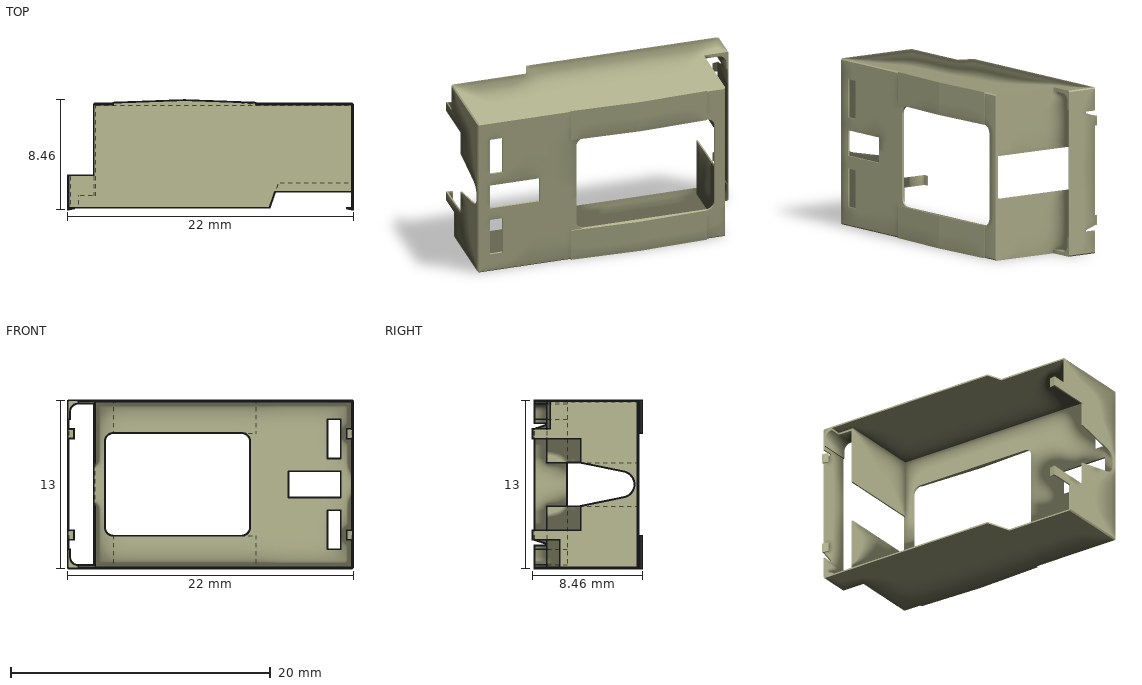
import cadquery as cq
import math

length = 22.0
depth = 8.46
height = 13.0
half_height = height / 2
wall = 0.12
back_wall = 0.15
edge_bevel = 0.1
cut_margin = 1.0

front_y = 0.15
step_y = 2.67
back_y = 8.19
back_inner_y = back_y - back_wall

step_x = 2.0
skirt_wall = 0.1

stiffener_wall = 0.2
stiffener_depth = 0.29
stiffener_radius = 0.6
stiffener_end_z = 5.0
ledge_front_y = 1.1

upper_cut_y = 1.37
lower_cut_y = 2.1
cut_start_x = 15.57
cut_slope = 0.34

window_x = (2.88, 14.05)
window_half_height = 3.95
window_radius = 0.65
slot_right_x = 21.03
centre_slot_size = (4.0, 2.0)
outer_slot_size = (1.0, 3.0)
outer_slot_z = 3.5

pad_x = (3.5, 14.5)
pad_edge_y = 8.26

left_notch_half_height = 1.68

throat_y = 7.85
throat_radius = 1.0
throat_taper = math.radians(11.5)
mouth_y = 3.72

hook_low_z = 3.52
hook_high_z = 4.28
hook_reach = 0.5
hook_nose_y = 0.1
relief_root_y = 1.04
relief_outer_z = 4.7
relief_root_z = 4.58


def box(x_range, y_range, z_range):
    """Axis-aligned block between the given limits."""
    (x0, x1), (y0, y1), (z0, z1) = x_range, y_range, z_range
    return cq.Workplane("XY").box(x1 - x0, y1 - y0, z1 - z0, centered=False).translate((x0, y0, z0))


def extrude_z(points, z0, z1):
    """Closed XY polygon extruded between two heights."""
    return cq.Workplane("XY").workplane(offset=z0).polyline(points).close().extrude(z1 - z0)


def extrude_x(points, x0, x1):
    """Closed YZ polygon extruded between two X positions."""
    return cq.Workplane("YZ").workplane(offset=x0).polyline(points).close().extrude(x1 - x0)


def mirrored(shape):
    """The shape together with its mirror image about Z = 0."""
    return shape.union(shape.mirror("XY"))


def make_shell():
    """Thin stepped box, open at the front and at the back of the step, with bevelled outer edges."""
    outline = [
        (0, front_y), (length, front_y), (length, back_y),
        (step_x, back_y), (step_x, step_y), (0, step_y),
    ]
    body = extrude_z(outline, -half_height, half_height)
    outer_edges = body.edges("(|Z and >Y) or (|X and >Y) or (|Y and >X) or (|Y and <X)")
    body = outer_edges.chamfer(edge_bevel)
    inner_z = (wall - half_height, half_height - wall)
    main_cavity = box((step_x + wall, length - wall), (front_y - cut_margin, back_inner_y), inner_z)
    step_cavity = box((skirt_wall, step_x), (front_y - cut_margin, step_y + cut_margin), inner_z)
    wall_front = box((step_x, step_x + wall), (front_y - cut_margin, ledge_front_y), inner_z)
    return body.cut(main_cavity).cut(step_cavity).cut(wall_front)


def make_stiffeners():
    """Rounded corner thickening inside the step, with a set-back ledge along the side plate."""
    inner_z = half_height - stiffener_depth
    top_z = half_height - wall / 2
    left_x = skirt_wall / 2
    arc_end_x = stiffener_wall + stiffener_radius
    corner = (
        cq.Workplane("XZ", origin=(0, step_y, 0))
        .moveTo(left_x, stiffener_end_z)
        .lineTo(stiffener_wall, stiffener_end_z)
        .lineTo(stiffener_wall, inner_z - stiffener_radius)
        .radiusArc((arc_end_x, inner_z), stiffener_radius)
        .lineTo(arc_end_x, top_z)
        .lineTo(left_x, top_z)
        .close()
        .extrude(step_y - front_y)
    )
    ledge = box((arc_end_x, step_x + wall / 2), (ledge_front_y, step_y), (inner_z, top_z))
    return mirrored(corner.union(ledge))


def make_pads():
    """Pads with a shallow ridge, standing on the back plate."""
    x0, x1 = pad_x
    pad = (
        cq.Workplane("XY", origin=(0, 0, window_half_height))
        .moveTo(x0, back_inner_y)
        .lineTo(x0, pad_edge_y)
        .lineTo((x0 + x1) / 2, depth)
        .lineTo(x1, pad_edge_y)
        .lineTo(x1, back_inner_y)
        .close()
        .extrude(half_height - window_half_height)
    )
    return mirrored(pad)


def make_front_cut(cut_y, z0, z1):
    """Front clearance at the right end of a side plate, with a slanted left edge."""
    low_y = front_y - cut_margin
    start_x = cut_start_x - cut_slope * cut_margin
    end_x = cut_start_x + cut_slope * (cut_y - front_y)
    right_x = length + cut_margin
    return extrude_z([(start_x, low_y), (right_x, low_y), (right_x, cut_y), (end_x, cut_y)], z0, z1)


def make_right_wall_cut():
    """Tapered, round-ended notch that opens into the gap between the latch arms."""
    tangent_y = throat_y - throat_radius * (1 - math.sin(throat_taper))
    tangent_z = throat_radius * math.cos(throat_taper)
    mouth_half_height = tangent_z + (tangent_y - mouth_y) * math.tan(throat_taper)
    low_y = front_y - cut_margin
    return (
        cq.Workplane("YZ", origin=(length - wall - cut_margin, 0, 0))
        .moveTo(low_y, -hook_low_z)
        .lineTo(mouth_y, -hook_low_z)
        .lineTo(mouth_y, -mouth_half_height)
        .lineTo(tangent_y, -tangent_z)
        .threePointArc((throat_y, 0), (tangent_y, tangent_z))
        .lineTo(mouth_y, mouth_half_height)
        .lineTo(mouth_y, hook_low_z)
        .lineTo(low_y, hook_low_z)
        .close()
        .extrude(wall + 2 * cut_margin)
    )


def make_back_openings():
    """Large window and three rectangular slots through the back plate."""
    y_range = (back_inner_y - cut_margin, depth + cut_margin)
    window = box(window_x, y_range, (-window_half_height, window_half_height))
    openings = window.edges("|Y").fillet(window_radius)
    slots = [(centre_slot_size, 0), (outer_slot_size, outer_slot_z), (outer_slot_size, -outer_slot_z)]
    for (slot_length, slot_height), centre_z in slots:
        x_range = (slot_right_x - slot_length, slot_right_x)
        z_range = (centre_z - slot_height / 2, centre_z + slot_height / 2)
        openings = openings.union(box(x_range, y_range, z_range))
    return openings


def make_left_notch():
    """Central notch in the left wall, open towards the front."""
    return box(
        (step_x - cut_margin, step_x + wall),
        (front_y, back_inner_y),
        (-left_notch_half_height, left_notch_half_height),
    )


def make_skirt_reliefs():
    """V-shaped reliefs in the skirt beside each hook."""
    relief = extrude_x(
        [
            (0, relief_outer_z), (relief_root_y, relief_outer_z),
            (relief_root_y, relief_root_z), (front_y, hook_high_z), (0, hook_high_z),
        ],
        -cut_margin, stiffener_wall,
    )
    return mirrored(relief)


def make_hooks():
    """Inward-facing hooks on the front edges of the skirt and of the right wall."""
    profile = [
        (0, 0), (hook_reach, hook_nose_y),
        (hook_reach, front_y), (skirt_wall, front_y), (skirt_wall, 2 * front_y), (0, 2 * front_y),
    ]
    left = extrude_z(profile, hook_low_z, hook_high_z)
    right = left.mirror("YZ").translate((length, 0, 0))
    return mirrored(left.union(right))


shell = make_shell().union(make_stiffeners()).union(make_pads())
shell = shell.cut(make_front_cut(upper_cut_y, hook_high_z, half_height + cut_margin))
shell = shell.cut(make_front_cut(lower_cut_y, -half_height - cut_margin, -hook_high_z))
shell = shell.cut(make_right_wall_cut()).cut(make_back_openings())
shell = shell.cut(make_left_notch()).cut(make_skirt_reliefs())
result = shell.union(make_hooks())